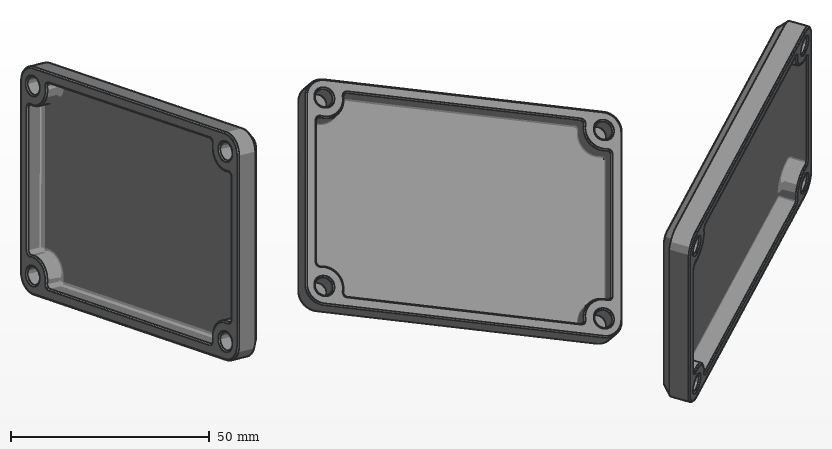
import cadquery as cq

LENGTH = 85.0
HEIGHT = 60.0
THICKNESS = 8.0
CORNER_RADIUS = 5.0
BACK_CHAMFER = 2.4
EDGE_CHAMFER = 0.4

WALL = 3.0
FLOOR_THICKNESS = 3.0
FLOOR_BEVEL = 0.66
POCKET_FILLET = 1.0

HOLE_DIAMETER = 4.7
BOSS_RADIUS = HOLE_DIAMETER / 2 + WALL

FRONT_Y = -THICKNESS / 2
POCKET_DEPTH = THICKNESS - FLOOR_THICKNESS
HOLE_DEPTH = POCKET_DEPTH
POCKET_LENGTH = LENGTH - 2 * WALL
POCKET_HEIGHT = HEIGHT - 2 * WALL

HOLE_X = LENGTH / 2 - CORNER_RADIUS
HOLE_Z = HEIGHT / 2 - CORNER_RADIUS
SCREW_CENTERS = [(sx * HOLE_X, sz * HOLE_Z) for sx in (-1, 1) for sz in (-1, 1)]


def front_plane():
    """Workplane on the open face: local X along +X, local Y along +Z, normal toward -Y."""
    return cq.Workplane("XZ", origin=(0, FRONT_Y, 0))


def make_plate():
    """Rounded plate with a wide chamfer on the back and a small one on the open face."""
    plate = front_plane().rect(LENGTH, HEIGHT).extrude(-THICKNESS)
    plate = plate.edges("|Y").fillet(CORNER_RADIUS)
    plate = plate.faces(">Y").chamfer(BACK_CHAMFER)
    return plate.faces("<Y").chamfer(EDGE_CHAMFER)


def make_screw_cylinders(radius, depth):
    """Cylinders about the four screw axes, running from the open face into the plate."""
    return front_plane().pushPoints(SCREW_CENTERS).circle(radius).extrude(-depth)


def make_pocket():
    """Solid that fills the pocket: a beveled block less the bosses, rounded except at the mouth."""
    pocket = front_plane().rect(POCKET_LENGTH, POCKET_HEIGHT).extrude(-POCKET_DEPTH)
    pocket = pocket.faces(">Y").chamfer(FLOOR_BEVEL)
    pocket = pocket.cut(make_screw_cylinders(BOSS_RADIUS, POCKET_DEPTH))
    mouth_edges = pocket.faces("<Y").edges().vals()
    buried_edges = [edge for edge in pocket.edges().vals() if edge not in mouth_edges]
    return pocket.newObject(buried_edges).fillet(POCKET_FILLET)


def chamfer_openings(body):
    """Chamfer the rims of the pocket and the holes on the open face."""
    front_face = body.faces("<Y").val()
    rims = [edge for wire in front_face.innerWires() for edge in wire.Edges()]
    return body.newObject(rims).chamfer(EDGE_CHAMFER)


plate = make_plate()
plate = plate.cut(make_pocket())
plate = plate.cut(make_screw_cylinders(HOLE_DIAMETER / 2, HOLE_DEPTH))
result = chamfer_openings(plate)